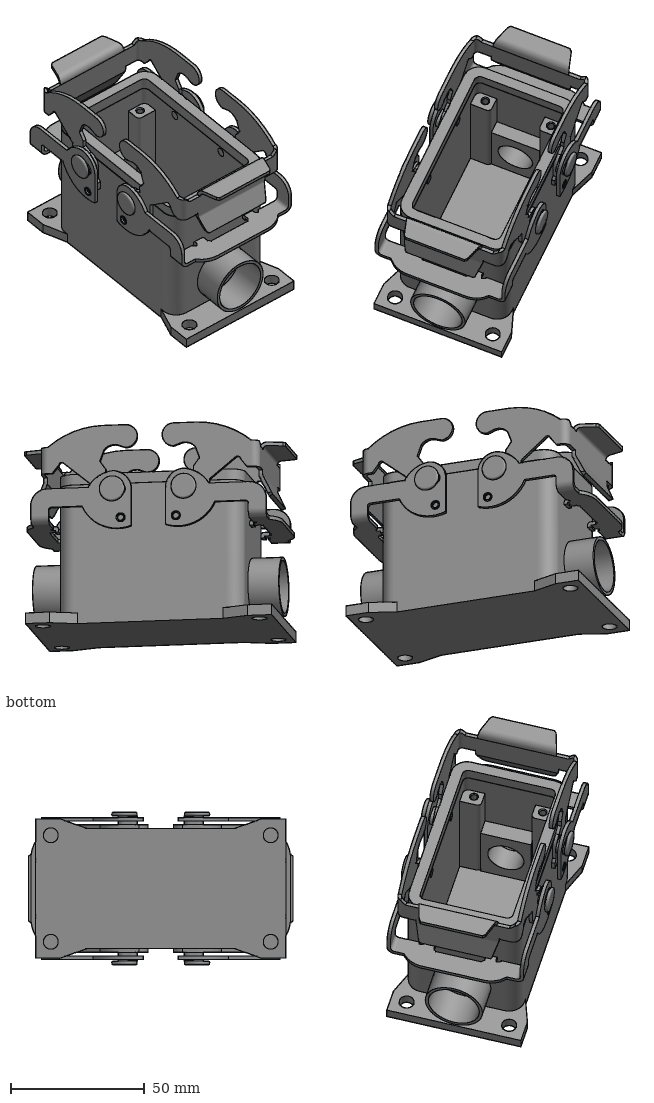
import cadquery as cq
import math

HOUSING_HALF_X = 35.0
HOUSING_HALF_Y = 22.5
HOUSING_HEIGHT = 57.0
CORNER_RADIUS = 6.0
RIM_HEIGHT = 4.1
RIM_STEP = 0.2
RIM_Z = HOUSING_HEIGHT - RIM_HEIGHT

CAVITY_HALF_X = 31.0
CAVITY_HALF_Y = 17.9
CAVITY_RADIUS = 2.3
MOUTH_HEIGHT = 4.7
MOUTH_STEP = 0.1

FLANGE_HALF_X = 46.7
FLANGE_HALF_Y = 26.0
FLANGE_THICKNESS = 4.1
FLANGE_TAPER_OUTER_X = 37.6
FLANGE_TAPER_INNER_X = 27.6
MOUNT_HOLE_DIAMETER = 5.5
MOUNT_HOLE_X = 41.1
MOUNT_HOLE_Y = 19.9

POST_INNER_X = 24.9
POST_INNER_Y = 9.8
POST_TOP_Z = 44.9
POST_EDGE_RADIUS = 1.6
SCREW_HOLE_X = 28.4
SCREW_HOLE_Y = 13.4
SCREW_HOLE_DIAMETER = 2.5
SCREW_HOLE_CHAMFER = 0.4
SCREW_HOLE_DEPTH = 11.9

TUBE_Z = 15.9
TUBE_RADIUS = 11.1
TUBE_BORE_RADIUS = 9.9
TUBE_BORE_DEPTH = 12.9
CABLE_HOLE_RADIUS = 7.0
LEFT_BOSS_INNER_X = -25.8
RIGHT_BOSS_INNER_X = POST_INNER_X
BOSS_TOP_Z = 27.7

SHEET = 1.4
COS_45 = math.cos(math.radians(45))
PIVOT_X = -13.6
PIVOT_Z = 50.0
BEND_OUTER_RADIUS = 3.0
BEND_INNER_RADIUS = BEND_OUTER_RADIUS - SHEET

SHANK_RADIUS = 1.7
NECK_RADIUS = 2.4
NECK_LENGTH = 2.5
HEAD_RADIUS = 4.8
HEAD_THICKNESS = 1.4
HEAD_EDGE_RADIUS = 0.6
HEAD_OUTER_Y = 28.5
HEAD_INNER_Y = HEAD_OUTER_Y - HEAD_THICKNESS

HOOK_INNER_Y = HOUSING_HALF_Y
HOOK_OUTER_Y = HOOK_INNER_Y + SHEET
HOOK_TOP_Z = 75.0
HOOK_TIP_RADIUS = 4.4
HOOK_TIP_X = -9.1
BACK_OUTER_X = -41.6
BACK_INNER_X = BACK_OUTER_X + SHEET
BACK_BOTTOM_Z = 57.4
BACK_TOP_Z = 65.5
BACK_CORNER_Z = 67.4
BACK_SHOULDER_OUTER_Y = 22.2
BACK_SHOULDER_INNER_Y = 20.1

HANDLE_END_X = -49.5
HANDLE_TOP_Z = 68.4
HANDLE_ROOT_HALF_Y = 15.4
HANDLE_END_HALF_Y = 12.9
HANDLE_CORNER = 0.9
SKIRT_BEND_Z = 55.4
SKIRT_BOTTOM_Z = 47.9
SKIRT_TOP_HALF_Y = 16.1
SKIRT_BOTTOM_HALF_Y = 14.3
SKIRT_CORNER = 1.3
SKIRT_OFFSET = 3.4
SKIRT_BEND_RADIUS = 1.4
SKIRT_EDGE_DROP = 0.7

BAIL_OUTER_Y = 26.5
BAIL_INNER_Y = BAIL_OUTER_Y - SHEET
BAIL_OUTER_X = -44.6
BAIL_INNER_X = -37.9
BAIL_LIP_X = -48.4
BAIL_BOTTOM_Z = 37.7
BAIL_BEND_Z = BAIL_BOTTOM_Z + BEND_OUTER_RADIUS
BAIL_ARM_TOP_Z = 51.0
BAIL_ARM_BOTTOM_Z = 43.9
BAIL_ELBOW_RADIUS = 6.1
BAIL_NOTCH_RADIUS = 1.2
BAIL_EYE_RADIUS = 7.0
TAB_OUTER_Y = 14.0
TAB_INNER_Y = 9.8
TAB_INNER_X = -36.2
TAB_OUTER_X = TAB_INNER_X - SHEET
TAB_BEND_RADIUS = 1.2
TAB_BOTTOM_Z = 37.0
BAIL_WAIST_X = -40.5
RELIEF_RADIUS = 1.0

DIMPLE_X = -10.5
DIMPLE_Z = 39.1
DIMPLE_RADIUS = 1.7
DIMPLE_RECESS_RADIUS = 1.2
DIMPLE_HEIGHT = 0.3
DIMPLE_RECESS_DEPTH = 0.8


def block(x_min, x_max, y_min, y_max, z_min, z_max):
    """Axis-aligned box between the given limits."""
    size = (x_max - x_min, y_max - y_min, z_max - z_min)
    return cq.Workplane("XY").box(*size, centered=False).translate((x_min, y_min, z_min))


def rounded_box(half_x, half_y, radius, z_min, z_max):
    """Box centred on the Z axis with rounded upright edges."""
    return block(-half_x, half_x, -half_y, half_y, z_min, z_max).edges("|Z").fillet(radius)


def disc_along_y(x, z, radius, y_start, y_end):
    """Cylinder along +Y."""
    circle = cq.Workplane("XZ", origin=(0, y_start, 0)).center(x, z).circle(radius)
    return circle.extrude(y_start - y_end)


def across(profile, half_y):
    """Extrude an XZ profile equally to both sides of the XZ plane."""
    return profile.extrude(half_y, both=True)


def both_sides(body):
    """A feature of the +Y side joined with its mirror image at -Y."""
    return body.union(body.mirror("XZ"))


def flange():
    """Mounting plate, wide at both ends and narrowed to the housing width between them."""
    corners = [
        (FLANGE_TAPER_INNER_X, HOUSING_HALF_Y),
        (FLANGE_TAPER_OUTER_X, FLANGE_HALF_Y),
        (FLANGE_HALF_X, FLANGE_HALF_Y),
    ]
    corners += [(x, -y) for x, y in reversed(corners)]
    corners += [(-x, -y) for x, y in corners]
    return cq.Workplane("XY").polyline(corners).close().extrude(FLANGE_THICKNESS)


def end_tube(side):
    """Cable tube standing out from one end wall."""
    start_x = side * CAVITY_HALF_X
    plane = cq.Workplane("YZ", origin=(start_x, 0, 0)).center(0, TUBE_Z)
    return plane.circle(TUBE_RADIUS).extrude(side * (FLANGE_HALF_X - CAVITY_HALF_X))


def tube_bores():
    """The wide bores of both tubes and the cable hole through the housing."""
    bores = cq.Workplane("YZ").center(0, TUBE_Z).circle(CABLE_HOLE_RADIUS).extrude(FLANGE_HALF_X, both=True)
    for side in (-1, 1):
        mouth = cq.Workplane("YZ", origin=(side * FLANGE_HALF_X, 0, 0)).center(0, TUBE_Z)
        bores = bores.union(mouth.circle(TUBE_BORE_RADIUS).extrude(-side * TUBE_BORE_DEPTH))
    return bores


def end_boss(x_min, x_max):
    """Thickening of an end wall between its two corner posts."""
    return block(x_min, x_max, -POST_INNER_Y, POST_INNER_Y, FLANGE_THICKNESS, BOSS_TOP_Z)


def corner_post():
    """Post in the +X, +Y corner of the cavity, with its free edge rounded."""
    body = block(POST_INNER_X, CAVITY_HALF_X, POST_INNER_Y, CAVITY_HALF_Y, FLANGE_THICKNESS, POST_TOP_Z)
    return body.edges("|Z and <X and <Y").fillet(POST_EDGE_RADIUS)


def cavity():
    """Interior with its corner posts and thickened end walls left standing."""
    space = rounded_box(CAVITY_HALF_X, CAVITY_HALF_Y, CAVITY_RADIUS, FLANGE_THICKNESS, HOUSING_HEIGHT)
    mouth = rounded_box(
        CAVITY_HALF_X + MOUTH_STEP, CAVITY_HALF_Y + MOUTH_STEP, CAVITY_RADIUS,
        HOUSING_HEIGHT - MOUTH_HEIGHT, HOUSING_HEIGHT,
    )
    posts = both_sides(corner_post())
    left_boss = end_boss(-CAVITY_HALF_X, LEFT_BOSS_INNER_X)
    right_boss = end_boss(RIGHT_BOSS_INNER_X, CAVITY_HALF_X)
    return space.union(mouth).cut(posts).cut(posts.mirror("YZ")).cut(left_boss).cut(right_boss)


def at_four_corners(x, y, z):
    """Upward-facing workplane points, one in each quadrant."""
    plane = cq.Workplane("XY", origin=(0, 0, z))
    return plane.rect(2 * x, 2 * y, forConstruction=True).vertices()


def mount_holes():
    points = at_four_corners(MOUNT_HOLE_X, MOUNT_HOLE_Y, 0)
    return points.circle(MOUNT_HOLE_DIAMETER / 2).extrude(FLANGE_THICKNESS)


def screw_holes():
    """Blind holes in the posts, countersunk at the top."""
    radius = SCREW_HOLE_DIAMETER / 2
    bottom_z = POST_TOP_Z - SCREW_HOLE_DEPTH
    holes = at_four_corners(SCREW_HOLE_X, SCREW_HOLE_Y, bottom_z).circle(radius).extrude(SCREW_HOLE_DEPTH)
    cone = cq.Solid.makeCone(
        radius, radius + SCREW_HOLE_CHAMFER, SCREW_HOLE_CHAMFER,
        pnt=cq.Vector(0, 0, POST_TOP_Z - SCREW_HOLE_CHAMFER),
    )
    for side_x in (-1, 1):
        for side_y in (-1, 1):
            countersink = cone.translate((side_x * SCREW_HOLE_X, side_y * SCREW_HOLE_Y, 0))
            holes = holes.union(cq.Workplane(countersink))
    return holes


def make_housing():
    body = rounded_box(HOUSING_HALF_X, HOUSING_HALF_Y, CORNER_RADIUS, 0, RIM_Z)
    rim = rounded_box(HOUSING_HALF_X, HOUSING_HALF_Y - RIM_STEP, CORNER_RADIUS, RIM_Z, HOUSING_HEIGHT)
    body = body.union(rim).union(flange())
    for side in (-1, 1):
        body = body.union(end_tube(side))
    body = body.cut(cavity()).cut(tube_bores()).cut(mount_holes()).cut(screw_holes())
    for pivot_x in (PIVOT_X, -PIVOT_X):
        body = body.cut(disc_along_y(pivot_x, PIVOT_Z, SHANK_RADIUS, -HOUSING_HALF_Y, HOUSING_HALF_Y))
    return body


def pivot_pin():
    shank = disc_along_y(PIVOT_X, PIVOT_Z, SHANK_RADIUS, CAVITY_HALF_Y, HOOK_OUTER_Y)
    neck = cq.Workplane("XZ", origin=(0, HOOK_OUTER_Y, 0)).center(PIVOT_X + NECK_LENGTH / 2, PIVOT_Z)
    neck = neck.slot2D(NECK_LENGTH + 2 * NECK_RADIUS, 2 * NECK_RADIUS).extrude(HOOK_OUTER_Y - HEAD_INNER_Y)
    head = disc_along_y(PIVOT_X, PIVOT_Z, HEAD_RADIUS, HEAD_INNER_Y, HEAD_OUTER_Y)
    head = head.edges("%CIRCLE").fillet(HEAD_EDGE_RADIUS)
    return shank.union(neck).union(head)


def hook_outline():
    """Side outline of the hooks, from the back plate to the pivot lug."""
    tip_z = HOOK_TOP_Z - HOOK_TIP_RADIUS
    bend_end_x = BACK_OUTER_X + BEND_OUTER_RADIUS
    return (
        cq.Workplane("XZ")
        .moveTo(BACK_OUTER_X, BACK_BOTTOM_Z)
        .lineTo(BACK_OUTER_X, BACK_CORNER_Z)
        .lineTo(bend_end_x, BACK_CORNER_Z)
        .threePointArc((-27.9, 73.3), (-17.2, HOOK_TOP_Z))
        .lineTo(HOOK_TIP_X, HOOK_TOP_Z)
        .threePointArc((HOOK_TIP_X + HOOK_TIP_RADIUS, tip_z), (HOOK_TIP_X, tip_z - HOOK_TIP_RADIUS))
        .lineTo(-11.1, 67.0)
        .threePointArc((-14.1, 67.5), (-17.3, 65.6))
        .lineTo(-18.9, 61.4)
        .lineTo(-16.6, 58.2)
        .lineTo(-16.6, 55.4)
        .lineTo(PIVOT_X, 54.1)
        .threePointArc((-10.6, 52.9), (-9.4, PIVOT_Z))
        .lineTo(-9.4, 44.3)
        .lineTo(-8.1, 43.2)
        .lineTo(-8.1, 39.9)
        .lineTo(-13.9, 39.9)
        .threePointArc((-20.3, 42.6), (-22.8, 48.5))
        .lineTo(-22.8, 53.1)
        .lineTo(-32.8, 61.3)
        .threePointArc((-33.6, 61.5), (-34.4, 60.5))
        .lineTo(-36.9, BACK_BOTTOM_Z)
        .close()
    )


def back_plate_relief():
    """Space above the lowered middle of the back plate."""
    half_profile = [
        (BACK_SHOULDER_OUTER_Y, HANDLE_TOP_Z),
        (BACK_SHOULDER_OUTER_Y, BACK_CORNER_Z),
        (BACK_SHOULDER_INNER_Y, BACK_TOP_Z),
    ]
    profile = half_profile + [(-y, z) for y, z in reversed(half_profile)]
    plane = cq.Workplane("YZ", origin=(BACK_OUTER_X, 0, 0))
    return plane.polyline(profile).close().extrude(BEND_OUTER_RADIUS)


def handle():
    """Grip bent outward from the back plate, tapered in plan."""
    bend_z = HANDLE_TOP_Z - BEND_OUTER_RADIUS
    bend_x = BACK_INNER_X - BEND_OUTER_RADIUS
    under_z = HANDLE_TOP_Z - SHEET
    profile = (
        cq.Workplane("XZ")
        .moveTo(BACK_INNER_X, BACK_BOTTOM_Z)
        .lineTo(BACK_INNER_X, bend_z)
        .threePointArc(
            (bend_x + BEND_OUTER_RADIUS * COS_45, bend_z + BEND_OUTER_RADIUS * COS_45), (bend_x, HANDLE_TOP_Z)
        )
        .lineTo(HANDLE_END_X, HANDLE_TOP_Z)
        .lineTo(HANDLE_END_X, under_z)
        .lineTo(bend_x, under_z)
        .threePointArc(
            (bend_x + BEND_INNER_RADIUS * COS_45, bend_z + BEND_INNER_RADIUS * COS_45), (BACK_OUTER_X, bend_z)
        )
        .lineTo(BACK_OUTER_X, BACK_BOTTOM_Z)
        .close()
    )
    half_plan = [
        (BACK_INNER_X, HANDLE_ROOT_HALF_Y),
        (HANDLE_END_X + HANDLE_CORNER, HANDLE_END_HALF_Y),
        (HANDLE_END_X, HANDLE_END_HALF_Y - HANDLE_CORNER),
    ]
    plan = half_plan + [(x, -y) for x, y in reversed(half_plan)]
    plan_solid = cq.Workplane("XY").polyline(plan).close().extrude(HANDLE_TOP_Z)
    return across(profile, HANDLE_ROOT_HALF_Y).intersect(plan_solid)


def skirt():
    """Flared tongue below the back plate, tapered toward its lower edge."""
    profile = (
        cq.Workplane("XZ")
        .moveTo(BACK_INNER_X, BACK_BOTTOM_Z)
        .lineTo(BACK_OUTER_X, BACK_BOTTOM_Z)
        .lineTo(BACK_OUTER_X, SKIRT_BEND_Z)
        .lineTo(BACK_OUTER_X - SKIRT_OFFSET, SKIRT_BOTTOM_Z + SKIRT_EDGE_DROP)
        .lineTo(BACK_INNER_X - SKIRT_OFFSET, SKIRT_BOTTOM_Z)
        .lineTo(BACK_INNER_X, SKIRT_BEND_Z - SKIRT_EDGE_DROP / 2)
        .close()
    )
    half_face = [
        (SKIRT_TOP_HALF_Y, BACK_BOTTOM_Z),
        (SKIRT_TOP_HALF_Y, BACK_BOTTOM_Z - SHEET),
        (SKIRT_BOTTOM_HALF_Y, SKIRT_BOTTOM_Z + SKIRT_CORNER),
        (SKIRT_BOTTOM_HALF_Y - SKIRT_CORNER, SKIRT_BOTTOM_Z),
    ]
    face = half_face + [(-y, z) for y, z in reversed(half_face)]
    face_solid = cq.Workplane("YZ").polyline(face).close().extrude(HANDLE_END_X)
    sheet = across(profile, SKIRT_TOP_HALF_Y)
    bend_edge = cq.NearestToPointSelector((BACK_OUTER_X, 0, SKIRT_BEND_Z))
    return sheet.edges("|Y").edges(bend_edge).fillet(SKIRT_BEND_RADIUS).intersect(face_solid)


def hook_frame():
    outer = block(BACK_OUTER_X, 0, -HOOK_OUTER_Y, HOOK_OUTER_Y, 0, HOOK_TOP_Z)
    outer = outer.edges("|Z and <X").fillet(BEND_OUTER_RADIUS)
    inner = block(BACK_INNER_X, 0, -HOOK_INNER_Y, HOOK_INNER_Y, 0, HOOK_TOP_Z)
    inner = inner.edges("|Z and <X").fillet(BEND_INNER_RADIUS)
    frame = outer.cut(inner).intersect(across(hook_outline(), HOOK_OUTER_Y))
    return frame.cut(back_plate_relief()).union(handle()).union(skirt())


def bail_arm():
    """Side plate of the bail: an eye around the pivot with an arm bent down at its end."""
    eye_right_x = PIVOT_X + BAIL_EYE_RADIUS
    eye_top_z = PIVOT_Z + BAIL_EYE_RADIUS
    elbow_x = BAIL_OUTER_X + BAIL_ELBOW_RADIUS
    elbow_z = BAIL_ARM_TOP_Z - BAIL_ELBOW_RADIUS
    notch_x = BAIL_INNER_X + BAIL_NOTCH_RADIUS
    notch_z = BAIL_ARM_BOTTOM_Z - BAIL_NOTCH_RADIUS
    outline = (
        cq.Workplane("XZ", origin=(0, BAIL_INNER_Y, 0))
        .moveTo(BAIL_OUTER_X, BAIL_BEND_Z)
        .lineTo(BAIL_OUTER_X, elbow_z)
        .threePointArc(
            (elbow_x - BAIL_ELBOW_RADIUS * COS_45, elbow_z + BAIL_ELBOW_RADIUS * COS_45),
            (elbow_x, BAIL_ARM_TOP_Z),
        )
        .lineTo(-23.0, BAIL_ARM_TOP_Z)
        .threePointArc((-18.7, 55.3), (PIVOT_X, eye_top_z))
        .threePointArc(
            (PIVOT_X + BAIL_EYE_RADIUS * COS_45, PIVOT_Z + BAIL_EYE_RADIUS * COS_45), (eye_right_x, PIVOT_Z)
        )
        .lineTo(eye_right_x, 35.9)
        .threePointArc((-17.3, 36.2), (-25.2, BAIL_ARM_BOTTOM_Z))
        .lineTo(notch_x, BAIL_ARM_BOTTOM_Z)
        .threePointArc(
            (notch_x - BAIL_NOTCH_RADIUS * COS_45, notch_z + BAIL_NOTCH_RADIUS * COS_45),
            (BAIL_INNER_X, notch_z),
        )
        .lineTo(BAIL_INNER_X, BAIL_BEND_Z)
        .close()
    )
    plate = outline.extrude(-SHEET)
    dimple_top_y = BAIL_OUTER_Y + DIMPLE_HEIGHT
    dimple = disc_along_y(DIMPLE_X, DIMPLE_Z, DIMPLE_RADIUS, BAIL_OUTER_Y, dimple_top_y)
    recess = disc_along_y(
        DIMPLE_X, DIMPLE_Z, DIMPLE_RECESS_RADIUS, dimple_top_y - DIMPLE_RECESS_DEPTH, dimple_top_y
    )
    return plate.union(dimple).cut(recess)


def crossbar_plan():
    """Plan outline of the crossbar on its +Y half."""
    relief_y = TAB_OUTER_Y + 2 * RELIEF_RADIUS
    return (
        cq.Workplane("XY")
        .moveTo(BAIL_LIP_X, 0)
        .lineTo(BAIL_LIP_X, 12.5)
        .threePointArc((-47.8, 15.4), (-46.5, 18.0))
        .lineTo(BAIL_OUTER_X, 20.0)
        .lineTo(BAIL_OUTER_X, BAIL_OUTER_Y)
        .lineTo(BAIL_INNER_X, BAIL_OUTER_Y)
        .lineTo(BAIL_INNER_X, relief_y)
        .threePointArc((BAIL_INNER_X - RELIEF_RADIUS, relief_y - RELIEF_RADIUS), (BAIL_INNER_X, TAB_OUTER_Y))
        .lineTo(TAB_OUTER_X, TAB_OUTER_Y)
        .lineTo(TAB_OUTER_X, TAB_INNER_Y)
        .lineTo(BAIL_WAIST_X + RELIEF_RADIUS, TAB_INNER_Y)
        .lineTo(BAIL_WAIST_X, TAB_INNER_Y - RELIEF_RADIUS)
        .lineTo(BAIL_WAIST_X, 0)
        .close()
        .extrude(BAIL_BEND_Z)
    )


def crossbar():
    """Bottom of the bail: a sheet bent up at both ends, with two tabs bent down."""
    limits_x = (BAIL_LIP_X, TAB_OUTER_X)
    outer = block(*limits_x, -BAIL_OUTER_Y, BAIL_OUTER_Y, BAIL_BOTTOM_Z, BAIL_ARM_TOP_Z)
    outer = outer.edges("|X and <Z").fillet(BEND_OUTER_RADIUS)
    inner = block(*limits_x, -BAIL_INNER_Y, BAIL_INNER_Y, BAIL_BOTTOM_Z + SHEET, BAIL_ARM_TOP_Z)
    inner = inner.edges("|X and <Z").fillet(BEND_INNER_RADIUS)
    bar = outer.cut(inner).intersect(both_sides(crossbar_plan()))
    tab_z = BAIL_BOTTOM_Z + SHEET
    tab = block(TAB_OUTER_X, TAB_INNER_X, TAB_INNER_Y, TAB_OUTER_Y, TAB_BOTTOM_Z, tab_z)
    tab = tab.edges("|Y and >X and >Z").fillet(TAB_BEND_RADIUS)
    return bar.union(both_sides(tab))


def make_lever():
    """One lever: hook frame and bail joined by the two pivot pins."""
    return hook_frame().union(crossbar()).union(both_sides(bail_arm())).union(both_sides(pivot_pin()))


housing = make_housing()
left_lever = make_lever()
right_lever = left_lever.mirror("YZ")

result = cq.Compound.makeCompound([
    housing.solids().val(),
    left_lever.solids().val(),
    right_lever.solids().val(),
])